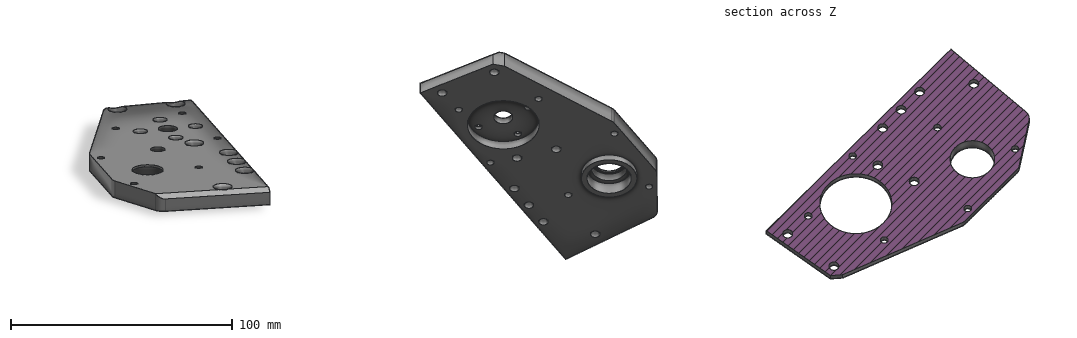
import cadquery as cq
import math

LENGTH = 129.5
WIDTH = 65.3
PLATE_THICKNESS = 8.0
BOSS_HEIGHT = 3.0

LEFT_SIDE_LENGTH = 38.1
CORNER_CUT = 3.9
FRONT_LEFT_X = 61.1
FRONT_RIGHT_X = 99.7
FRONT_RIGHT_ANGLE = 30.0
RIGHT_SIDE_LEAN = 5.0
CORNER_RADIUS = 5.0

SIDE_BEVEL = 2.1
REAR_BEVEL = 0.4

SEAT_CENTER = (89.9, -46.1)
BOSS_DIAMETER = 25.0
LIP_DIAMETER = 14.0
LIP_DEPTH = 1.0
RELIEF_DIAMETER = 16.0
BEARING_DIAMETER = 20.0
BEARING_DEPTH = 6.0

LARGE_DIAMETER = 4.3
LARGE_HEAD_DIAMETER = 8.5
REAR_ROW_START = (76.8, -4.1)
REAR_ROW_PITCH = 13.0
REAR_ROW_COUNT = 3
LEFT_HOLES = [(5.0, -8.5), (5.0, -35.9)]
SINGLE_LARGE_HOLES = [(59.8, -15.5), (121.8, -20.1)]

RING_CENTER = (37.4, -21.5)
RING_RADIUS = 13.0
RING_COUNT = 4
RING_BORE_DIAMETER = 8.5
POCKET_DIAMETER = 32.4
POCKET_FLOOR_THICKNESS = 3.5
SMALL_DIAMETER = 3.2
SMALL_HEAD_DIAMETER = 6.5
COUNTERSINK_ANGLE = 90.0

COUNTERBORE_CENTER = (63.7, -33.8)
COUNTERBORE_DIAMETER = 6.5
COUNTERBORE_DEPTH = 3.0
COUNTERBORE_HOLE_DIAMETER = 4.3

PIN_DIAMETER = 3.2
PIN_HOLES = [(18.5, -9.3), (56.3, -3.6), (92.9, -22.9), (30.6, -44.0), (68.0, -61.8), (106.6, -57.3)]

slope = math.tan(math.radians(FRONT_RIGHT_ANGLE))
lean = math.tan(math.radians(RIGHT_SIDE_LEAN))
rear_left = (0, 0)
rear_right = (LENGTH, 0)
right_y = (slope * (LENGTH - FRONT_RIGHT_X) - WIDTH) / (1 - slope * lean)
right_corner = (LENGTH + lean * right_y, right_y)
front_right = (FRONT_RIGHT_X, -WIDTH)
front_left = (FRONT_LEFT_X, -WIDTH)
cut_front = (CORNER_CUT, -LEFT_SIDE_LENGTH - CORNER_CUT)
cut_rear = (0, -LEFT_SIDE_LENGTH)


def make_plate():
    outline = [rear_left, rear_right, right_corner, front_right, front_left, cut_front, cut_rear]
    plate = cq.Workplane("XY").polyline(outline).close().extrude(PLATE_THICKNESS)
    for x, y in (right_corner, front_right, front_left):
        corner_edge = cq.selectors.NearestToPointSelector((x, y, PLATE_THICKNESS / 2))
        plate = plate.edges(corner_edge).fillet(CORNER_RADIUS)
    return plate


def bevel_cutter(start, end, size):
    """Wedge along the top edge from start to end, with the plate on the right-hand side.

    The wedge overruns both ends, so the bevel plane also trims the neighbouring corners.
    """
    edge = cq.Vector(end[0] - start[0], end[1] - start[1], 0)
    overrun = 2 * CORNER_RADIUS
    direction = edge.normalized()
    outward = cq.Vector(-direction.y, direction.x, 0)
    origin = cq.Vector(start[0], start[1], PLATE_THICKNESS) - direction * overrun
    section = cq.Plane(origin=origin, xDir=outward, normal=direction)
    triangle = [(-2 * size, size), (size, size), (size, -2 * size)]
    return cq.Workplane(section).polyline(triangle).close().extrude(edge.Length + 2 * overrun)


def countersunk_holes(body, centers, diameter, head_diameter):
    top = cq.Workplane("XY", origin=(0, 0, PLATE_THICKNESS))
    drill = top.pushPoints(centers).circle(diameter / 2).extrude(-PLATE_THICKNESS)
    head_radius = head_diameter / 2
    cone_height = head_radius / math.tan(math.radians(COUNTERSINK_ANGLE / 2))
    cone = cq.Solid.makeCone(0, head_radius, cone_height)
    heads = top.pushPoints(centers).eachpoint(
        lambda place: cone.translate(cq.Vector(0, 0, -cone_height)).moved(place)
    )
    return body.cut(drill).cut(heads)


def cut_round(body, centers, diameter, bottom, top):
    cutter = cq.Workplane("XY", origin=(0, 0, bottom)).pushPoints(centers).circle(diameter / 2)
    return body.cut(cutter.extrude(top - bottom))


def add_bearing_seat(body):
    boss = cq.Workplane("XY").center(*SEAT_CENTER).circle(BOSS_DIAMETER / 2).extrude(-BOSS_HEIGHT)
    body = body.union(boss)
    lip_bottom = PLATE_THICKNESS - LIP_DEPTH
    bearing_top = BEARING_DEPTH - BOSS_HEIGHT
    body = cut_round(body, [SEAT_CENTER], LIP_DIAMETER, -BOSS_HEIGHT, PLATE_THICKNESS)
    body = cut_round(body, [SEAT_CENTER], RELIEF_DIAMETER, -BOSS_HEIGHT, lip_bottom)
    return cut_round(body, [SEAT_CENTER], BEARING_DIAMETER, -BOSS_HEIGHT, bearing_top)


def ring_centers():
    step = 2 * math.pi / RING_COUNT
    return [
        (
            RING_CENTER[0] + RING_RADIUS * math.cos(i * step),
            RING_CENTER[1] + RING_RADIUS * math.sin(i * step),
        )
        for i in range(RING_COUNT)
    ]


result = make_plate()
for start, end, size in (
    (cut_rear, rear_left, SIDE_BEVEL),
    (rear_left, rear_right, REAR_BEVEL),
    (rear_right, right_corner, SIDE_BEVEL),
):
    result = result.cut(bevel_cutter(start, end, size))

result = add_bearing_seat(result)

rear_row = [(REAR_ROW_START[0] + i * REAR_ROW_PITCH, REAR_ROW_START[1]) for i in range(REAR_ROW_COUNT)]
large_centers = rear_row + LEFT_HOLES + SINGLE_LARGE_HOLES
result = countersunk_holes(result, large_centers, LARGE_DIAMETER, LARGE_HEAD_DIAMETER)
result = countersunk_holes(result, ring_centers(), SMALL_DIAMETER, SMALL_HEAD_DIAMETER)

pocket_depth = PLATE_THICKNESS - POCKET_FLOOR_THICKNESS
counterbore_floor = PLATE_THICKNESS - COUNTERBORE_DEPTH
result = cut_round(result, [RING_CENTER], RING_BORE_DIAMETER, 0, PLATE_THICKNESS)
result = cut_round(result, [RING_CENTER], POCKET_DIAMETER, 0, pocket_depth)
result = cut_round(result, PIN_HOLES, PIN_DIAMETER, 0, PLATE_THICKNESS)
result = cut_round(result, [COUNTERBORE_CENTER], COUNTERBORE_HOLE_DIAMETER, 0, PLATE_THICKNESS)
result = cut_round(
    result, [COUNTERBORE_CENTER], COUNTERBORE_DIAMETER, counterbore_floor, PLATE_THICKNESS
)